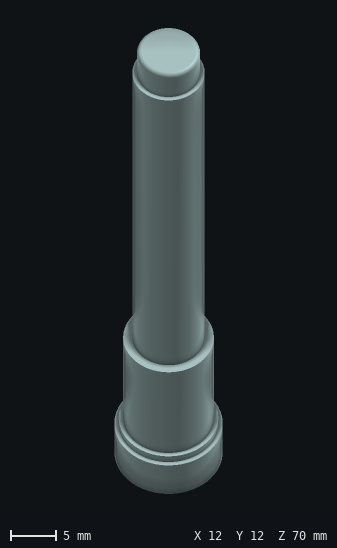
import cadquery as cq

total_height = 70.0
head_diameter = 12.0
head_height = 5.0
collar_diameter = 11.0
collar_height = 1.0
sleeve_diameter = 10.0
sleeve_top = 20.0
shaft_diameter = 8.0
tip_diameter = 7.0
tip_height = 3.8
tip_fillet = 0.5

collar_top = head_height + collar_height
shaft_top = total_height - tip_height


def cylinder(diameter, bottom, top):
    """Coaxial cylinder standing between two levels."""
    return cq.Workplane("XY").workplane(offset=bottom).circle(diameter / 2).extrude(top - bottom)


head = cylinder(head_diameter, 0, head_height)
collar = cylinder(collar_diameter, head_height, collar_top)
sleeve = cylinder(sleeve_diameter, collar_top, sleeve_top)
shaft = cylinder(shaft_diameter, sleeve_top, shaft_top)

tip = cylinder(tip_diameter, shaft_top, total_height).faces(">Z").edges().fillet(tip_fillet)

result = head.union(collar).union(sleeve).union(shaft).union(tip)